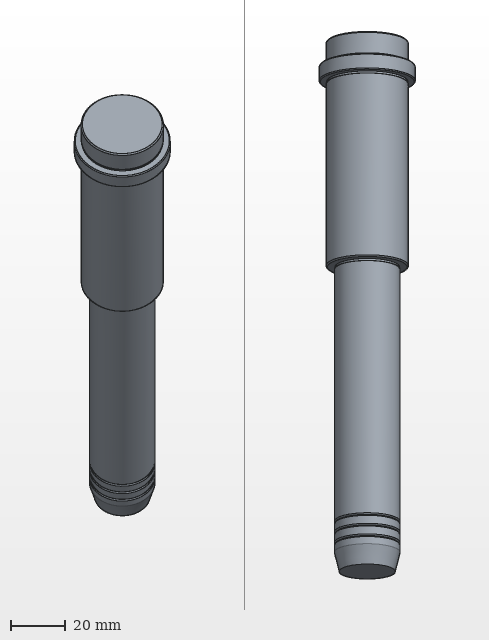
import cadquery as cq

total_length = 200.0
body_diameter = 30.0
pin_diameter = 24.0
pin_length = 115.0

collar_diameter = 35.0
collar_height = 6.0
head_height = 9.0
collar_chamfer = 0.5
collar_top = total_length - head_height
collar_bottom = collar_top - collar_height

tip_diameter = 20.5
tip_height = 7.2

groove_count = 3
groove_pitch = 4.0
groove_width = 1.0
groove_depth = 0.5
first_groove_center = 10.5

body_chamfer = 0.5

relief_width = 0.8
relief_depth = 0.2


def cylinder(diameter, bottom, height):
    return cq.Workplane("XY").workplane(offset=bottom).circle(diameter / 2).extrude(height)


def make_pin():
    tip = (
        cq.Workplane("XY")
        .circle(tip_diameter / 2)
        .workplane(offset=tip_height)
        .circle(pin_diameter / 2)
        .loft(ruled=True)
    )
    return tip.union(cylinder(pin_diameter, tip_height, pin_length - tip_height))


def make_body():
    body = cylinder(body_diameter, pin_length, total_length - pin_length)
    return body.faces("<Z or >Z").edges().chamfer(body_chamfer)


def make_collar():
    collar = cylinder(collar_diameter, collar_bottom, collar_height)
    return collar.faces("<Z or >Z").edges().chamfer(collar_chamfer)


def make_groove(center):
    """V-section ring groove, deepest at its center height."""
    pin_radius = pin_diameter / 2
    half_width = groove_width / 2
    return (
        cq.Workplane("XZ")
        .moveTo(pin_radius, center - half_width)
        .lineTo(pin_radius - groove_depth, center)
        .lineTo(pin_radius, center + half_width)
        .close()
        .revolve(360, (0, 0, 0), (0, 1, 0))
    )


def make_relief(diameter, bottom):
    ring = cylinder(diameter, bottom, relief_width)
    return ring.cut(cylinder(diameter - 2 * relief_depth, bottom, relief_width))


result = make_pin().union(make_body()).union(make_collar())
for index in range(groove_count):
    result = result.cut(make_groove(first_groove_center + index * groove_pitch))

result = result.cut(make_relief(body_diameter, collar_top))
result = result.cut(make_relief(body_diameter, collar_bottom - relief_width))
result = result.cut(make_relief(pin_diameter, pin_length - relief_width))